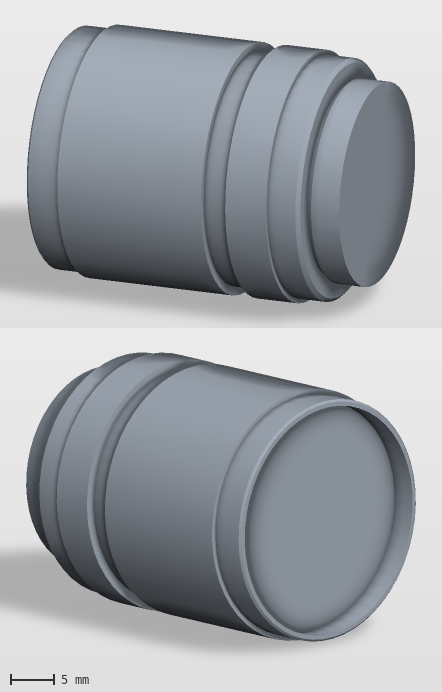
import cadquery as cq


BODY_DIAMETER = 29.5
SHOULDER_DIAMETER = 28.4
GROOVE_DIAMETER = 27.4
NECK_DIAMETER = 23.0
END_DIAMETER = 23.9
RECESS_DIAMETER = 26.9

FRONT_SHOULDER_END = 4.1
BODY_END = 21.95
GROOVE_END = 24.95
COLLAR_END = 30.0
REAR_SHOULDER_END = 33.9
NECK_END = 34.5
TOTAL_LENGTH = 38.0

RECESS_DEPTH = 3.0
FRONT_CHAMFER = 0.25
REAR_CHAMFER = 0.45


def turned_step(start, end, diameter):
    """Solid cylinder about the X axis, from X = start to X = end."""
    half_section = cq.Workplane("XZ").moveTo(start, 0).lineTo(start, diameter / 2)
    half_section = half_section.lineTo(end, diameter / 2).lineTo(end, 0).close()
    return half_section.revolve(360, (0, 0, 0), (1, 0, 0))


def front_shoulder():
    """First step, with its outer rim chamfered."""
    step = turned_step(0, FRONT_SHOULDER_END, SHOULDER_DIAMETER)
    return step.faces("<X").edges().chamfer(FRONT_CHAMFER)


def rear_shoulder():
    """Step behind the collar, chamfered on the edge facing the neck."""
    step = turned_step(COLLAR_END, REAR_SHOULDER_END, SHOULDER_DIAMETER)
    return step.faces(">X").edges().chamfer(REAR_CHAMFER)


later_steps = [
    turned_step(FRONT_SHOULDER_END, BODY_END, BODY_DIAMETER),
    turned_step(BODY_END, GROOVE_END, GROOVE_DIAMETER),
    turned_step(GROOVE_END, COLLAR_END, BODY_DIAMETER),
    rear_shoulder(),
    turned_step(REAR_SHOULDER_END, NECK_END, NECK_DIAMETER),
    turned_step(NECK_END, TOTAL_LENGTH, END_DIAMETER),
]

barrel = front_shoulder()
for step in later_steps:
    barrel = barrel.union(step)

recess = turned_step(0, RECESS_DEPTH, RECESS_DIAMETER)
result = barrel.cut(recess)